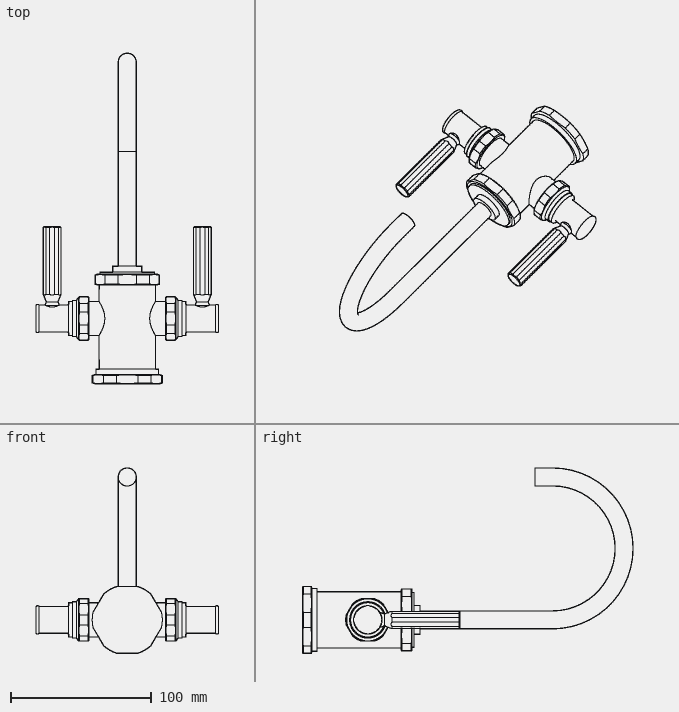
import cadquery as cq

body_diameter = 40.3
body_radius = body_diameter / 2
body_top = 78.2
base_collar_radius = 22.4
base_collar_top = 10.5
top_collar_radius = 19.5
top_collar_top = 79.6
cap_radius = 10.4
cap_top = 83.9

base_nut_flat = 23.8
base_nut_corner = 25.0
base_nut_face = 22.5
base_nut_top = 6.8
top_nut_flat = 22.1
top_nut_corner = 23.0
top_nut_face = 21.5
top_nut_bottom = 70.5
side_nut_flat = 15.0
side_nut_corner = 15.8
side_nut_face = 14.8
side_nut_inner = 27.3
side_nut_outer = 34.6
end_chamfer_height = 0.7

spout_diameter = 13.0
spout_radius = spout_diameter / 2
bend_radius = 51.0
spout_end = 235.5
bend_y = spout_end - bend_radius - spout_radius
tip_length = 12.7

arm_y = 46.6
arm_span = 130.3
arm_tip = arm_span / 2
arm_radius = 9.7
neck_radius = 12.3
bead_radius = 1.2
bead_outer_radius = 10.1
ring_radius = 12.3
ring_outer = 41.7
ring_inner = 39.0
step_radius = 13.0
step_inner = 36.3
shoulder_radius = 15.0
ring_edge_fillet = 1.0

handle_x = 53.5
handle_flat = 6.1
handle_corner = 6.4
handle_face = 5.7
handle_bottom = 63.8
handle_top = 112.1
stem_radius = 4.2
stem_y = 58.5
flare_radius = 5.2
flare_y = 56.0


def cylinder_y(radius, start, end):
    """Cylinder on the Y axis between two heights."""
    return cq.Workplane("XZ").workplane(offset=-start).circle(radius).extrude(start - end)


def rounded_hex(flat, corner, face_radius, start, end):
    """Hexagonal bar on the Y axis: flats facing +-Z, corners turned round, both ends chamfered."""
    hexagon = (
        cq.Workplane("XZ")
        .workplane(offset=-start)
        .polygon(6, 2 * flat, circumscribed=True)
        .extrude(start - end)
        .rotate((0, 0, 0), (0, 1, 0), 30)
    )
    turned = (
        cq.Workplane("XY")
        .moveTo(0, start)
        .lineTo(face_radius, start)
        .lineTo(corner, start + end_chamfer_height)
        .lineTo(corner, end - end_chamfer_height)
        .lineTo(face_radius, end)
        .lineTo(0, end)
        .close()
        .revolve(360, (0, 0, 0), (0, 1, 0))
    )
    return hexagon.intersect(turned)


def make_body():
    """Column with its collars, cap, base nut and top nut."""
    body = cylinder_y(body_radius, 0, body_top)
    body = body.union(cylinder_y(base_collar_radius, 0, base_collar_top))
    body = body.union(cylinder_y(top_collar_radius, 0, top_collar_top))
    body = body.union(cylinder_y(cap_radius, 0, cap_top))
    base_nut = rounded_hex(base_nut_flat, base_nut_corner, base_nut_face, 0, base_nut_top)
    top_nut = rounded_hex(top_nut_flat, top_nut_corner, top_nut_face, top_nut_bottom, body_top)
    return body.union(base_nut).union(top_nut)


def make_spout():
    """Tube leaving the cap along +Y and bending half a turn back over the body."""
    path = (
        cq.Workplane("YZ")
        .moveTo(body_top, 0)
        .lineTo(bend_y, 0)
        .threePointArc((bend_y + bend_radius, bend_radius), (bend_y, 2 * bend_radius))
        .lineTo(bend_y - tip_length, 2 * bend_radius)
    )
    return cq.Workplane("XZ").workplane(offset=-body_top).circle(spout_radius).sweep(path)


def make_arm():
    """Turned arm along +X from the body axis, with its nut, rings and end bead."""
    bead_center_radius = bead_outer_radius - bead_radius
    bead_start = arm_tip - 2 * bead_radius
    profile = (
        cq.Workplane("XY")
        .lineTo(0, neck_radius)
        .lineTo(side_nut_inner, neck_radius)
        .lineTo(side_nut_outer, shoulder_radius)
        .lineTo(step_inner, step_radius)
        .lineTo(ring_inner, step_radius)
        .lineTo(ring_inner, ring_radius)
        .lineTo(ring_outer, ring_radius)
        .lineTo(ring_outer, arm_radius + ring_edge_fillet)
        .radiusArc((ring_outer + ring_edge_fillet, arm_radius), -ring_edge_fillet)
        .lineTo(bead_start, arm_radius)
        .threePointArc((arm_tip - bead_radius, bead_outer_radius), (arm_tip, bead_center_radius))
        .lineTo(arm_tip, 0)
        .close()
    )
    arm = profile.revolve(360, (0, 0, 0), (1, 0, 0))
    nut = rounded_hex(side_nut_flat, side_nut_corner, side_nut_face, side_nut_inner, side_nut_outer)
    nut = nut.rotate((0, 0, 0), (0, 0, 1), -90)
    return arm.union(nut).translate((0, arm_y, 0))


def make_handle():
    """Faceted lever on the arm, tapering down to a round stem that flares out again."""
    grip = rounded_hex(handle_flat, handle_corner, handle_face, arm_y, handle_top)
    envelope = (
        cq.Workplane("XY")
        .moveTo(0, arm_y)
        .lineTo(flare_radius, arm_y)
        .lineTo(flare_radius, flare_y)
        .lineTo(stem_radius, stem_y)
        .lineTo(handle_corner, handle_bottom)
        .lineTo(handle_corner, handle_top)
        .lineTo(0, handle_top)
        .close()
        .revolve(360, (0, 0, 0), (0, 1, 0))
    )
    return grip.intersect(envelope).translate((handle_x, 0, 0))


side = make_arm().union(make_handle())
result = make_body().union(make_spout()).union(side).union(side.mirror("YZ"))